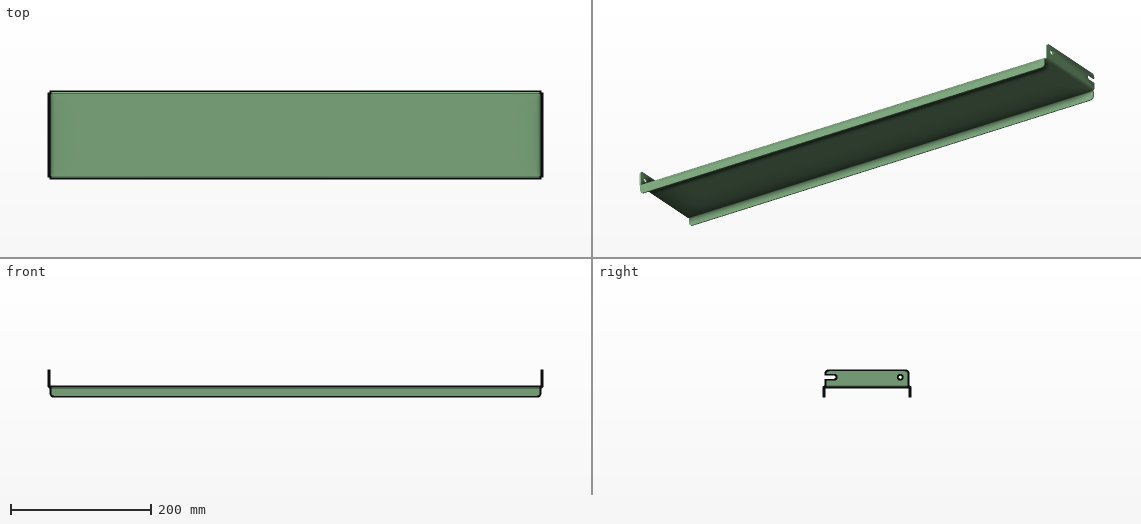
import cadquery as cq

length = 706.0
width = 125.0
height = 38.0

thickness = 2.0
inner_radius = 1.0
outer_radius = inner_radius + thickness

plate_top = 15.0
side_flange_length = length - 2 * outer_radius
side_corner_radius = 5.0

end_flange_width = width - 2 * outer_radius
end_corner_radius = 5.0

mount_z = 28.0
hole_diameter = 7.0
hole_inset = 12.0
slot_width = hole_diameter
slot_depth = 16.0


def make_tray():
    """Plate and turned-down side flanges: a channel open at the bottom."""
    outer = (
        cq.Workplane("XY")
        .box(side_flange_length, width, plate_top, centered=(True, True, False))
        .edges("|X and >Z")
        .fillet(outer_radius)
    )
    inner = (
        cq.Workplane("XY")
        .box(side_flange_length, width - 2 * thickness, plate_top - thickness, centered=(True, True, False))
        .edges("|X and >Z")
        .fillet(inner_radius)
    )
    return outer.cut(inner).edges("|Y and <Z").fillet(side_corner_radius)


def make_end_channel():
    """Upright end flanges joined by the plate: a channel open at the top."""
    plate_bottom = plate_top - thickness
    outer = (
        cq.Workplane("XY", origin=(0, 0, plate_bottom))
        .box(length, end_flange_width, height - plate_bottom, centered=(True, True, False))
        .edges("|Y and <Z")
        .fillet(outer_radius)
    )
    inner = (
        cq.Workplane("XY", origin=(0, 0, plate_top))
        .box(length - 2 * thickness, end_flange_width, height - plate_top, centered=(True, True, False))
        .edges("|Y and <Z")
        .fillet(inner_radius)
    )
    return outer.cut(inner).edges("|X and >Z").fillet(end_corner_radius)


def make_mount_cutter():
    """Round hole near the +Y edge and round-ended slot open at the -Y edge, for both end flanges."""
    edge_y = end_flange_width / 2
    hole_y = edge_y - hole_inset
    slot_radius = slot_width / 2
    slot_bottom = mount_z - slot_radius
    slot_top = mount_z + slot_radius
    slot_end_y = slot_depth - edge_y
    arc_start_y = slot_end_y - slot_radius

    side = cq.Workplane("YZ", origin=(-length / 2, 0, 0))
    hole = side.moveTo(hole_y, mount_z).circle(hole_diameter / 2).extrude(length)
    slot = (
        side.moveTo(-edge_y, slot_bottom)
        .lineTo(arc_start_y, slot_bottom)
        .threePointArc((slot_end_y, mount_z), (arc_start_y, slot_top))
        .lineTo(-edge_y, slot_top)
        .close()
        .extrude(length)
    )
    return hole.union(slot)


result = make_tray().union(make_end_channel()).cut(make_mount_cutter())